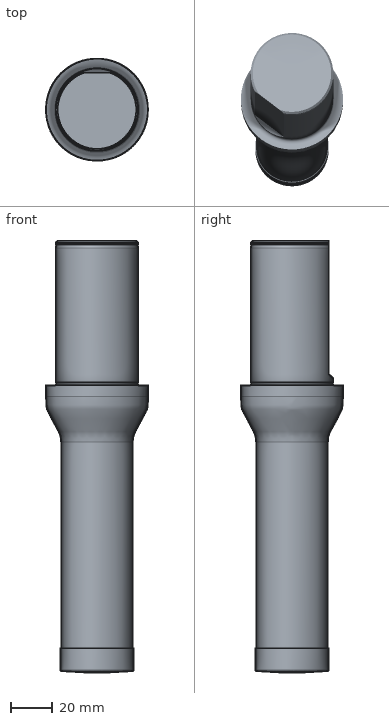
import cadquery as cq
import math

total_height = 209.0
shank_length = 70.0
flange_top = total_height - shank_length

head_diameter = 35.5
head_height = 11.7
tip_flat_diameter = 11.4
tip_cone_height = 0.7
head_corner_radius = 0.8

body_diameter = 34.8

flange_diameter = 49.5
flange_thickness = 5.2
skirt_height = 22.2
bulge_share = 0.67

shank_diameter = 39.99
neck_diameter = 39.5
neck_height = 1.5
neck_fillet_radius = 0.75
end_groove_top_depth = 1.7
end_groove_floor_height = 0.5
end_groove_taper_height = 1.2
end_chamfer = 1.0

flat_distance = 17.9
flat_runout_angle = 45.0
flat_runout_height = 5.4


def make_cutting_head():
    """Round head with a shallow flat-ended conical tip and a rounded corner."""
    radius = head_diameter / 2
    return (
        cq.Workplane("XZ")
        .moveTo(0, 0)
        .lineTo(tip_flat_diameter / 2, 0)
        .lineTo(radius, tip_cone_height)
        .lineTo(radius, head_height)
        .lineTo(0, head_height)
        .close()
        .revolve(360, (0, 0), (0, 1))
        .edges(cq.selectors.NearestToPointSelector((0, -radius, tip_cone_height)))
        .fillet(head_corner_radius)
    )


def make_holder_blank():
    """Drill body, skirt, flange and shank turned as one profile."""
    body_radius = body_diameter / 2
    flange_radius = flange_diameter / 2
    neck_radius = neck_diameter / 2
    shank_radius = shank_diameter / 2

    flange_bottom = flange_top - flange_thickness
    skirt_bottom = flange_bottom - skirt_height
    skirt_width = flange_radius - body_radius

    turn_angle = 2 * math.atan(skirt_width / skirt_height)
    skirt_radius_sum = skirt_height / math.sin(turn_angle)
    bulge_radius = bulge_share * skirt_radius_sum
    hollow_radius = skirt_radius_sum - bulge_radius

    def bulge_point(angle):
        return (
            flange_radius - bulge_radius * (1 - math.cos(angle)),
            flange_bottom - bulge_radius * math.sin(angle),
        )

    hollow_middle = (
        body_radius + hollow_radius * (1 - math.cos(turn_angle / 2)),
        skirt_bottom + hollow_radius * math.sin(turn_angle / 2),
    )
    skirt_points = [hollow_middle] + [bulge_point(angle) for angle in (turn_angle, turn_angle / 2, 0)]

    neck_top = flange_top + neck_height
    groove_top = total_height - end_groove_top_depth
    groove_floor_bottom = groove_top - end_groove_floor_height
    groove_bottom = groove_floor_bottom - end_groove_taper_height
    return (
        cq.Workplane("XZ")
        .moveTo(0, head_height)
        .lineTo(body_radius, head_height)
        .lineTo(body_radius, skirt_bottom)
        .spline(
            skirt_points,
            tangents=[(0, 1), (0, 1)],
            includeCurrent=True,
        )
        .lineTo(flange_radius, flange_top)
        .lineTo(neck_radius + neck_fillet_radius, flange_top)
        .radiusArc((neck_radius, flange_top + neck_fillet_radius), neck_fillet_radius)
        .lineTo(neck_radius, neck_top)
        .lineTo(shank_radius, neck_top)
        .lineTo(shank_radius, groove_bottom)
        .lineTo(neck_radius, groove_floor_bottom)
        .lineTo(neck_radius, groove_top)
        .lineTo(shank_radius, groove_top)
        .lineTo(shank_radius, total_height - end_chamfer)
        .lineTo(shank_radius - end_chamfer, total_height)
        .lineTo(0, total_height)
        .close()
        .revolve(360, (0, 0), (0, 1))
    )


def make_flat_cutter():
    """Prism that removes the clamping flat, sloping outwards at its lower end."""
    runout_top = flange_top + flat_runout_height
    outer_distance = shank_diameter / 2
    runout_drop = (outer_distance - flat_distance) * math.tan(math.radians(flat_runout_angle))
    return (
        cq.Workplane("YZ")
        .moveTo(flat_distance, total_height)
        .lineTo(flat_distance, runout_top)
        .lineTo(outer_distance, runout_top - runout_drop)
        .lineTo(outer_distance, total_height)
        .close()
        .extrude(shank_diameter / 2, both=True)
    )


cutting_head = make_cutting_head()
holder = make_holder_blank().cut(make_flat_cutter())

result = cq.Compound.makeCompound([cutting_head.val(), holder.val()])